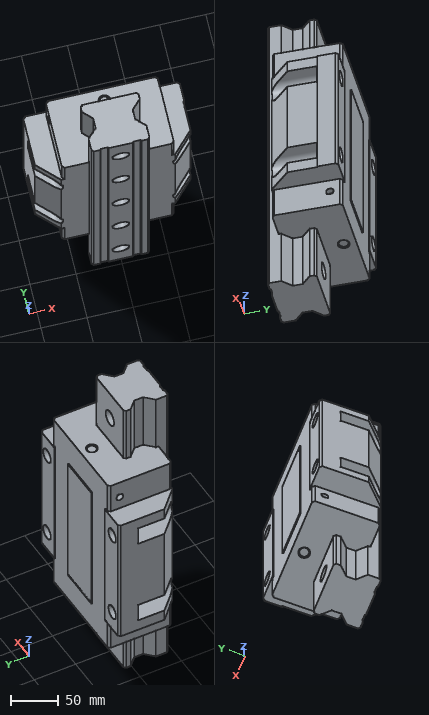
import cadquery as cq


rail_length = 370.0
rail_half_width = 31.5
rail_height = 53.3
rail_corner_chamfer = 2.2
rail_waist_depth = 10.0
rail_waist_bottom = 15.0
rail_waist_top = 46.0
relief_inner = 13.0
relief_outer = 22.5
relief_depth = 1.0
relief_wall_run = 1.0
rail_hole_diameter = 18.0
rail_hole_pitch = 75.0
rail_hole_count = 5

overall_height = 90.0
carriage_bottom = 12.2
carriage_length = 233.0
cap_half_width = 60.5
cap_top = 88.8
cap_chamfer = 2.5
block_length = 159.5
block_width = 170.0
block_half_width = block_width / 2
block_top_chamfer = 2.5
block_bottom_half_width = 61.8
flank_bottom = 34.8
datum_inset = 1.0
datum_edge = 67.5
top_pad_half_width = 25.5
top_recess_outer = 54.5
mount_hole_radius = 8.0
mount_hole_x = 70.5
mount_hole_z = 55.0
bolt_slot_radius = 11.0
bolt_slot_top = 66.5
port_height = 75.0
end_port_radius = 6.3
end_port_floor_radius = 5.0
end_port_depth = 1.0
side_port_radius = 4.0
side_port_z = 95.5
side_port_depth = 7.5


def box_between(x_min, x_max, y_min, y_max, length):
    """Box centred on Z = 0, between the given X and Y limits."""
    box = cq.Workplane("XY").box(x_max - x_min, y_max - y_min, length, centered=(False, False, True))
    return box.translate((x_min, y_min, 0))


def cylinder_along_y(radius, x, z, y_min, y_max):
    axis_start = cq.Vector(x, y_min, z)
    return cq.Workplane(obj=cq.Solid.makeCylinder(radius, y_max - y_min, axis_start, cq.Vector(0, 1, 0)))


def rail_profile():
    """Closed dovetail-waisted section of the rail, without base grooves."""
    waist_half_width = rail_half_width - rail_waist_depth
    right_side = [
        (rail_half_width - rail_corner_chamfer, 0),
        (rail_half_width, rail_corner_chamfer),
        (rail_half_width, rail_waist_bottom),
        (waist_half_width, rail_waist_bottom + rail_waist_depth),
        (waist_half_width, rail_waist_top - rail_waist_depth),
        (rail_half_width, rail_waist_top),
        (rail_half_width, rail_height - rail_corner_chamfer),
        (rail_half_width - rail_corner_chamfer, rail_height),
    ]
    left_side = [(-x, y) for x, y in reversed(right_side)]
    return cq.Workplane("XY").polyline(right_side + left_side).close()


def rail_envelope():
    return rail_profile().extrude(rail_length / 2, both=True)


def base_relief():
    """Shallow groove with sloping walls, running along the +X half of the rail base."""
    outline = [
        (relief_inner, 0),
        (relief_outer, 0),
        (relief_outer - relief_wall_run, relief_depth),
        (relief_inner + relief_wall_run, relief_depth),
    ]
    return cq.Workplane("XY").polyline(outline).close().extrude(rail_length / 2, both=True)


def make_rail():
    rail = rail_envelope()
    right_relief = base_relief()
    rail = rail.cut(right_relief).cut(right_relief.mirror("YZ"))
    for index in range(rail_hole_count):
        z = (index - (rail_hole_count - 1) / 2) * rail_hole_pitch
        rail = rail.cut(cylinder_along_y(rail_hole_diameter / 2, 0, z, 0, rail_height))
    return rail


def end_cap_bar():
    """Full-length bar whose two ends form the end caps."""
    bar = box_between(-cap_half_width, cap_half_width, carriage_bottom, cap_top, carriage_length)
    return bar.edges("|Z").chamfer(cap_chamfer)


def flanged_block():
    """Middle block with chamfered flanges and a stepped +X datum flank."""
    lower_right_x = block_half_width - datum_inset
    outline = [
        (-block_bottom_half_width, carriage_bottom),
        (block_bottom_half_width, carriage_bottom),
        (lower_right_x, flank_bottom),
        (lower_right_x, datum_edge),
        (block_half_width, datum_edge),
        (block_half_width, overall_height - block_top_chamfer),
        (block_half_width - block_top_chamfer, overall_height),
        (block_top_chamfer - block_half_width, overall_height),
        (-block_half_width, overall_height - block_top_chamfer),
        (-block_half_width, flank_bottom),
    ]
    return cq.Workplane("XY").polyline(outline).close().extrude(block_length / 2, both=True)


def top_recesses():
    """Two shallow channels that leave a central pad and the flange tops raised."""
    right = box_between(top_pad_half_width, top_recess_outer, cap_top, overall_height, block_length)
    return right.union(right.mirror("YZ"))


def bolt_seat(side, z):
    """Through hole and open-sided bolt head slot in the flange on one side (+1 or -1)."""
    x = side * mount_hole_x
    hole = cylinder_along_y(mount_hole_radius, x, z, carriage_bottom, overall_height)
    slot_end = cylinder_along_y(bolt_slot_radius, x, z, carriage_bottom, bolt_slot_top)
    x_min, x_max = sorted((x, side * block_half_width))
    slot = box_between(x_min, x_max, carriage_bottom, bolt_slot_top, 2 * bolt_slot_radius)
    return hole.union(slot_end).union(slot.translate((0, 0, z)))


def end_port(side):
    """Tapered grease port in the outer face of one end cap (+1 or -1)."""
    mouth = cq.Vector(0, port_height, side * carriage_length / 2)
    inward = cq.Vector(0, 0, -side)
    return cq.Solid.makeCone(end_port_radius, end_port_floor_radius, end_port_depth, mouth, inward)


def side_port(side, z):
    """Blind grease port in the flank of an end cap (+1 or -1)."""
    mouth = cq.Vector(side * cap_half_width, port_height, z)
    return cq.Solid.makeCylinder(side_port_radius, side_port_depth, mouth, cq.Vector(-side, 0, 0))


def make_carriage():
    carriage = end_cap_bar().union(flanged_block())
    carriage = carriage.cut(top_recesses())
    for side in (-1, 1):
        carriage = carriage.cut(end_port(side))
        for end in (-1, 1):
            carriage = carriage.cut(bolt_seat(side, end * mount_hole_z))
            carriage = carriage.cut(side_port(side, end * side_port_z))
    return carriage.cut(rail_envelope())


rail = make_rail()
carriage = make_carriage()

result = cq.Compound.makeCompound([rail.val(), carriage.val()])